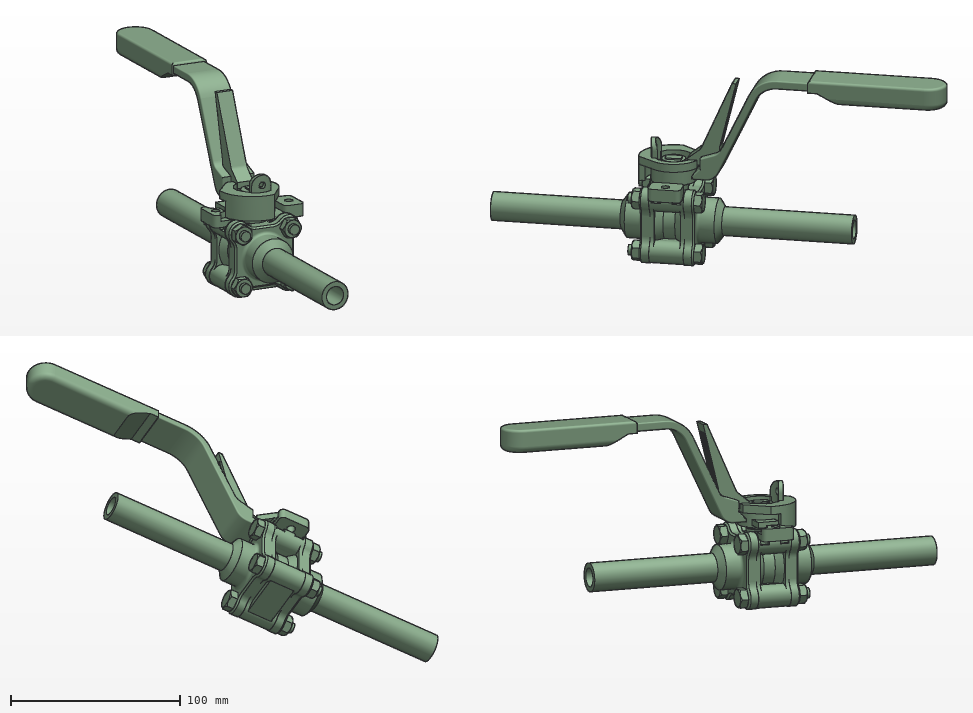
import cadquery as cq
import math


half_length = 108.8
tube_dia = 17.2
bore_dia = 11.2
hub_dia = 27.0
hub_end = 27.0
hub_taper = 3.5
hub_flare = 2.0

body_half = 10.5
cap_thickness = 6.0
cap_face = body_half + cap_thickness
cap_half_y = 19.5
cap_half_z = 18.5
cap_chamfer = 1.0
bolt_offset = 16.0
lug_radius = 7.0
sleeve_radius = 6.8
lug_blend = 6.8
web_bottom = -22.5
web_gap = 9.5
window_half = 8.0
waist_half = 3.5
waist_radius = 14.5
waist_root = 18.0
bridge_half_y = 15.3

head_flats = 11.0
head_height = 5.0
head_face_dia = 10.7
stud_dia = 6.3
stud_projection = 2.5

tab_length = 19.7
tab_outer = 29.8
tab_inner = 16.7
tab_bottom = 19.5
tab_top = 27.0
tab_corner = 2.7
tab_hole_dia = 5.0
tab_hole_y = 24.0
relief_dia = 11.2
relief_x = 9.5
relief_y = -20.0
relief_floor = 23.2
pocket_near = 3.5
pocket_far = 9.0
pocket_floor = 16.0
pocket_back = 20.8

gland_dia = 17.2
gland_top = 22.1
neck_dia = 14.2
plate_dia = 27.0
plate_bottom = 24.3
arm_bottom = 25.7
arm_top = 29.3
arm_left = -9.3
arm_right = 3.5
arm_reach = 19.7
recess_floor = 34.2
nut_dia = 14.2
nut_top = 37.2
stem_flats = 6.0
stem_length = 9.8
stem_top = 38.0

deck_bottom = 33.5
deck_top = 38.5
deck_radius = 15.9
deck_left = -15.0
rear_angle = math.radians(57)
skirt_radius = 20.8
skirt_inner = 17.0
skirt_bottom = 23.5
skirt_left = 5.0
skirt_back = 4.6
skirt_front_x = -1.6
recess_dia = 22.5

loop_inner = 10.7
loop_thickness = 2.7
loop_half_width = 6.3
loop_top = 49.2
loop_hole_dia = 4.0

lever_width = 21.0
lever_edge = 0.8
strap_top = 92.7
strap_thickness = 5.0
strap_start = -91.5
slope_angle = math.radians(64.3)
slope_x = -31.2
slope_z = 49.2
bend_radius = 14.2
lever_bottom = 28.2
foot_radius = 8.2
foot_right = -12.8
cheek_z = 44.8
cheek_radius = 6.8
cheek_right = -17.8
cheek_end_z = 41.0
notch_z = 34.7
slot_width = 2.7
slot_depth = 0.8
slot_left = -43.7
slot_right = -32.8

grip_left = -164.5
grip_right = -82.8
grip_width = 22.7
grip_top = 94.0
grip_bottom = 80.0
grip_neck = 87.0
grip_slope_start = -101.7
grip_slope_end = -88.5
grip_top_round = 1.6
grip_bottom_round = 3.8

latch_width = 10.5
latch_grooves = 3
groove_width = 1.5
groove_depth = 0.8
groove_pitch = 2.7
tip_x = -38.5
tip_z = 87.8
tip_width = 2.5
heel_x = -28.7
heel_z = 47.8
elbow_x = -17.2
elbow_z = 45.7
elbow_radius = 4.0
toe_x = -9.3
toe_top = 39.5
toe_bottom = 35.5
groove_top = 82.0


def x_cylinder(x_start, x_end, dia, y=0.0, z=0.0):
    """Cylinder along X between two X positions."""
    return cq.Workplane("YZ", origin=(x_start, y, z)).circle(dia / 2).extrude(x_end - x_start)


def z_cylinder(z_start, z_end, dia, x=0.0, y=0.0):
    """Cylinder along Z between two heights."""
    return cq.Workplane("XY", origin=(x, y, z_start)).circle(dia / 2).extrude(z_end - z_start)


def block(x0, x1, y0, y1, z0, z1):
    """Box given by its limits along X, Y and Z."""
    return cq.Workplane("XY").box(x1 - x0, y1 - y0, z1 - z0, centered=False).translate((x0, y0, z0))


def rounded_profile(corners):
    """Closed XZ outline; each corner is (x, z, radius), radius 0 being sharp."""
    path = cq.Workplane("XZ")
    count = len(corners)
    started = False
    for i, (x, z, radius) in enumerate(corners):
        corner = cq.Vector(x, z)
        before = (cq.Vector(*corners[i - 1][:2]) - corner).normalized()
        after = (cq.Vector(*corners[(i + 1) % count][:2]) - corner).normalized()
        half_angle = before.getAngle(after) / 2
        tangent = radius / math.tan(half_angle)
        start = corner + before * tangent
        path = path.lineTo(start.x, start.y) if started else path.moveTo(start.x, start.y)
        started = True
        if radius > 0:
            bisector = (before + after).normalized()
            middle = corner + bisector * (radius / math.sin(half_angle) - radius)
            end = corner + after * tangent
            path = path.threePointArc((middle.x, middle.y), (end.x, end.y))
    return path.close()


def bolt_places():
    return [(sy * bolt_offset, sz * bolt_offset) for sy in (-1, 1) for sz in (-1, 1)]


def flange_slab(x_start, x_end, radius):
    """Rectangular slab with a blended round lug at each bolt."""
    slab = block(x_start, x_end, -cap_half_y, cap_half_y, -cap_half_z, cap_half_z)
    for y, z in bolt_places():
        slab = slab.union(x_cylinder(x_start, x_end, 2 * radius, y, z))

    def is_notch(edge):
        centre = edge.Center()
        on_side = abs(abs(centre.y) - cap_half_y) < 0.003
        on_top = abs(abs(centre.z) - cap_half_z) < 0.003
        return on_side or on_top

    return slab.newObject(slab.edges("|X").filter(is_notch).vals()).fillet(lug_blend)


def end_side():
    """Cap, hub and tube on the +X side."""
    cap = flange_slab(body_half, cap_face, lug_radius).faces(">X").edges().chamfer(cap_chamfer)
    hub_r = hub_dia / 2
    tube_r = tube_dia / 2
    flare_mid = hub_flare * (1 - math.sqrt(0.5))
    line = (
        cq.Workplane("XY")
        .moveTo(0, 0)
        .lineTo(0, hub_r + hub_flare)
        .lineTo(cap_face, hub_r + hub_flare)
        .threePointArc((cap_face + flare_mid, hub_r + flare_mid), (cap_face + hub_flare, hub_r))
        .lineTo(hub_end, hub_r)
        .lineTo(hub_end + hub_taper, tube_r)
        .lineTo(half_length, tube_r)
        .lineTo(half_length, 0)
        .close()
        .revolve(360, (0, 0, 0), (1, 0, 0))
    )
    return cap.union(line.intersect(block(body_half, half_length, -hub_dia, hub_dia, -hub_dia, hub_dia)))


def hex_head(x_inner, direction, y, z, turn):
    """Hexagonal head with its outer corners turned off to a round face."""
    across_corners = head_flats / math.cos(math.pi / 6)
    head = cq.Workplane("YZ").polygon(6, across_corners).extrude(head_height)
    slack = (across_corners - head_face_dia) / 2
    cone = cq.Workplane("YZ").circle(across_corners / 2).extrude(head_height).faces(">X").chamfer(slack)
    head = head.intersect(cone).rotate((0, 0, 0), (1, 0, 0), turn)
    if direction < 0:
        head = head.mirror("YZ")
    return head.translate((x_inner, y, z))


def bolts():
    heads = cq.Workplane("XY")
    for y, z in bolt_places():
        turn = 90 if y * z < 0 else 0
        heads = heads.union(hex_head(-cap_face, -1, y, z, turn))
        heads = heads.union(hex_head(cap_face, 1, y, z, turn))
        stud_end = cap_face + head_height + stud_projection
        heads = heads.union(x_cylinder(cap_face, stud_end, stud_dia, y, z))
    return heads


def body():
    """Centre section: two flanges, bolt sleeves, bridges and a round waist."""
    centre = flange_slab(window_half, body_half, sleeve_radius)
    centre = centre.union(flange_slab(-body_half, -window_half, sleeve_radius))
    for y, z in bolt_places():
        centre = centre.union(x_cylinder(-window_half, window_half, 2 * sleeve_radius, y, z))
    centre = centre.union(block(-window_half, window_half, -bridge_half_y, bridge_half_y, web_gap, cap_half_z))
    centre = centre.union(block(-window_half, window_half, -bridge_half_y, bridge_half_y, web_bottom, -web_gap))
    waist = (
        cq.Workplane("XY")
        .polyline([
            (-window_half, 0), (-window_half, waist_root), (-waist_half, waist_radius),
            (waist_half, waist_radius), (window_half, waist_root), (window_half, 0),
        ])
        .close()
        .revolve(360, (0, 0, 0), (1, 0, 0))
    )
    return centre.union(waist)


def lock_tab(side):
    """Drilled ear standing out along Y; side is +1 or -1."""
    middle = (tab_outer + tab_inner) / 2
    tab = (
        cq.Workplane("XY", origin=(0, side * middle, tab_bottom))
        .rect(tab_length, tab_outer - tab_inner)
        .extrude(tab_top - tab_bottom)
        .edges("|Z").fillet(tab_corner)
    )
    hole = z_cylinder(tab_bottom, tab_top, tab_hole_dia, 0, side * tab_hole_y)
    return tab.cut(hole)


def tab_reliefs():
    """Round corner reliefs in the front tab and the pockets under both tabs."""
    reliefs = cq.Workplane("XY")
    for side_x in (-1, 1):
        reliefs = reliefs.union(z_cylinder(relief_floor, tab_top, relief_dia, side_x * relief_x, relief_y))
        for side_y in (-1, 1):
            x0, x1 = sorted((side_x * pocket_near, side_x * pocket_far))
            y0, y1 = sorted((side_y * pocket_back, side_y * tab_outer))
            reliefs = reliefs.union(block(x0, x1, y0, y1, pocket_floor, tab_bottom))
    return reliefs


def stem_stack():
    """Gland, neck, stop plate with its arm, stem nut and flatted stem end."""
    stack = z_cylinder(cap_half_z, gland_top, gland_dia)
    stack = stack.union(z_cylinder(gland_top, plate_bottom, neck_dia))
    stack = stack.union(z_cylinder(plate_bottom, deck_bottom, plate_dia))
    stack = stack.union(block(arm_left, arm_right, -arm_reach, 0, arm_bottom, arm_top))
    stack = stack.union(z_cylinder(recess_floor, nut_top, nut_dia))
    stem = (
        cq.Workplane("XY", origin=(0, 0, nut_top))
        .rect(stem_length, stem_flats)
        .extrude(stem_top - nut_top)
        .edges("|Z").fillet(stem_flats / 4)
    )
    return stack.union(stem)


def deck():
    """Top plate under the lever with a partial skirt and a recess round the stem."""
    rear_left = (deck_left, math.sqrt(deck_radius**2 - deck_left**2))
    rear_right = (deck_radius * math.cos(rear_angle), deck_radius * math.sin(rear_angle))
    skirt_start = (math.sqrt(skirt_radius**2 - skirt_back**2), skirt_back)
    diagonal = skirt_radius * math.sqrt(0.5)
    skirt_end = (skirt_front_x, -math.sqrt(skirt_radius**2 - skirt_front_x**2))

    def outline(bottom):
        return (
            cq.Workplane("XY", origin=(0, 0, bottom))
            .moveTo(*rear_left)
            .threePointArc((0, deck_radius), rear_right)
            .lineTo(*skirt_start)
            .threePointArc((diagonal, -diagonal), skirt_end)
            .lineTo(deck_left, -lever_width / 2 + lever_edge)
            .close()
            .extrude(deck_top - bottom)
        )

    skirt = outline(skirt_bottom).cut(z_cylinder(skirt_bottom, deck_top, 2 * skirt_inner))
    skirt = skirt.intersect(
        block(skirt_left, skirt_radius, -skirt_radius, skirt_back, skirt_bottom, deck_top)
    )
    plate = outline(deck_bottom).cut(z_cylinder(recess_floor, deck_top, recess_dia))
    return plate.union(skirt)


def padlock_loop():
    """Curved upright tab with a round top and a cross hole."""
    ring = z_cylinder(deck_bottom, loop_top, 2 * (loop_inner + loop_thickness))
    ring = ring.cut(z_cylinder(deck_bottom, loop_top, 2 * loop_inner))
    eye_z = loop_top - loop_half_width
    reach = loop_inner + loop_thickness
    shape = block(0, reach, -loop_half_width, loop_half_width, deck_bottom, eye_z)
    shape = shape.union(x_cylinder(0, reach, 2 * loop_half_width, 0, eye_z))
    return ring.intersect(shape).cut(x_cylinder(0, reach, loop_hole_dia, 0, eye_z))


def lever():
    """Cranked strap that deepens into the side cheeks beside the stem."""
    run = 1 / math.tan(slope_angle)
    slope_shift = strap_thickness / math.sin(slope_angle)
    strap_bottom = strap_top - strap_thickness
    upper_bend_x = slope_x - (strap_top - slope_z) * run
    lower_bend_x = slope_x - slope_shift - (strap_bottom - slope_z) * run
    foot_x = slope_x - slope_shift + (slope_z - lever_bottom) * run
    cheek_x = slope_x + (slope_z - cheek_z) * run
    profile = rounded_profile([
        (strap_start, strap_top, 0),
        (upper_bend_x, strap_top, bend_radius + strap_thickness),
        (cheek_x, cheek_z, cheek_radius),
        (cheek_right, cheek_end_z, 0),
        (cheek_right, notch_z, 0),
        (foot_right, notch_z - (foot_right - cheek_right), 0),
        (foot_right, lever_bottom, 0),
        (foot_x, lever_bottom, foot_radius),
        (lower_bend_x, strap_bottom, bend_radius),
        (strap_start, strap_bottom, 0),
    ])
    strap = profile.extrude(lever_width / 2, both=True)
    strap = strap.faces("<Y or >Y").fillet(lever_edge)

    def slope_height(x):
        return slope_z - (x - slope_x) / run

    drop = slot_depth / math.cos(slope_angle)
    slot = (
        cq.Workplane("XZ")
        .polyline([
            (slot_left, slope_height(slot_left) + drop), (slot_right, slope_height(slot_right) + drop),
            (slot_right, slope_height(slot_right) - drop), (slot_left, slope_height(slot_left) - drop),
        ])
        .close()
        .extrude(slot_width / 2, both=True)
    )
    return strap.cut(slot)


def grip():
    """Sleeve over the strap, round at its free end and tapered at the other."""
    end_r = grip_width / 2
    height = grip_top - grip_bottom
    plan = (
        cq.Workplane("XY", origin=(0, 0, grip_bottom))
        .moveTo(grip_right, -end_r)
        .lineTo(grip_left + end_r, -end_r)
        .threePointArc((grip_left, 0), (grip_left + end_r, end_r))
        .lineTo(grip_right, end_r)
        .close()
        .extrude(height)
    )
    relief = (
        cq.Workplane("XZ")
        .polyline([
            (grip_slope_start, grip_bottom), (grip_slope_end, grip_neck),
            (grip_right, grip_neck), (grip_right, grip_bottom),
        ])
        .close()
        .extrude(end_r, both=True)
    )
    rounded = plan.faces("<Z").edges("not >X").fillet(grip_bottom_round)
    return rounded.cut(relief).faces(">Z").edges().fillet(grip_top_round)


def latch():
    """Spring latch leaning off the lever, with grip grooves on its left face."""
    blade = rounded_profile([
        (tip_x, tip_z, 0),
        (tip_x + tip_width, tip_z, 0),
        (elbow_x, elbow_z, elbow_radius),
        (toe_x, toe_top, 0),
        (toe_x, toe_bottom, 0),
        (heel_x, toe_bottom, 0),
        (heel_x, heel_z, 0),
    ]).extrude(latch_width / 2, both=True)
    face_run = (heel_x - tip_x) / (tip_z - heel_z)
    top_x = tip_x + (tip_z - groove_top) * face_run
    for i in range(latch_grooves):
        y = (i - (latch_grooves - 1) / 2) * groove_pitch
        groove = (
            cq.Workplane("XZ", origin=(0, y, 0))
            .polyline([
                (top_x - groove_depth, groove_top), (top_x + groove_depth, groove_top),
                (heel_x + groove_depth, heel_z), (heel_x - groove_depth, heel_z),
            ])
            .close()
            .extrude(groove_width / 2, both=True)
        )
        blade = blade.cut(groove)
    return blade


right_end = end_side()
valve = body().union(right_end).union(right_end.mirror("YZ")).union(bolts())
valve = valve.union(lock_tab(1)).union(lock_tab(-1))
valve = valve.cut(tab_reliefs())
valve = valve.union(stem_stack()).union(deck()).union(padlock_loop())
valve = valve.union(lever()).union(grip()).union(latch())
result = valve.cut(x_cylinder(-half_length, half_length, bore_dia))